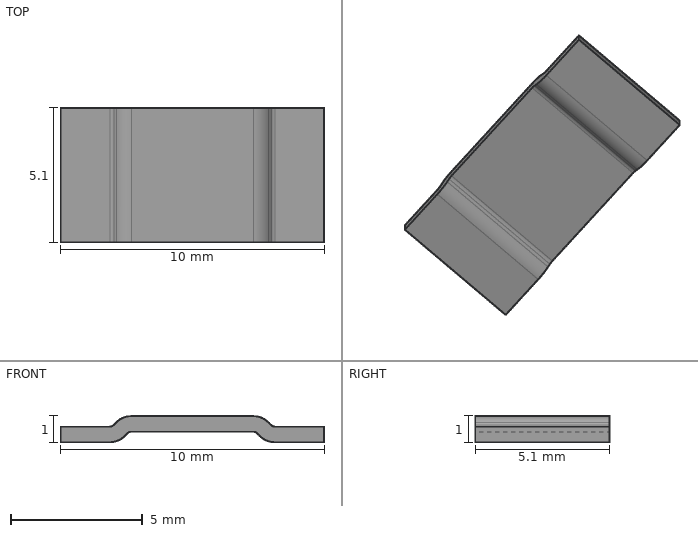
import cadquery as cq
import math

length = 10.0
width = 5.1
height = 1.0
thickness = 0.6
foot_length = 1.87
inner_radius = 0.2
bend_angle = math.radians(45)

outer_radius = inner_radius + thickness
step = height - thickness
sine = math.sin(bend_angle)
cosine = math.cos(bend_angle)

ramp_rise = step - (inner_radius + outer_radius) * (1 - cosine)
ramp_run = ramp_rise * cosine / sine
bend_run = (inner_radius + outer_radius) * sine + ramp_run

lower_center = (-length / 2 + foot_length, thickness + inner_radius)
upper_center = (lower_center[0] + bend_run, height - outer_radius)


def lower_point(radius, angle):
    """Point on the bend that rises from the foot, angle counted from the foot."""
    return (
        lower_center[0] + radius * math.sin(angle),
        lower_center[1] - radius * math.cos(angle),
    )


def upper_point(radius, angle):
    """Point on the bend that meets the raised plate, angle counted from the plate."""
    return (
        upper_center[0] - radius * math.sin(angle),
        upper_center[1] + radius * math.cos(angle),
    )


def half_strip():
    """The -X half of the strip, from its end to the middle plane."""
    half_angle = bend_angle / 2
    profile = (
        cq.Workplane("XZ", origin=(0, width / 2, 0))
        .moveTo(-length / 2, 0)
        .lineTo(-length / 2, thickness)
        .lineTo(*lower_point(inner_radius, 0))
        .threePointArc(lower_point(inner_radius, half_angle), lower_point(inner_radius, bend_angle))
        .lineTo(*upper_point(outer_radius, bend_angle))
        .threePointArc(upper_point(outer_radius, half_angle), upper_point(outer_radius, 0))
        .lineTo(0, height)
        .lineTo(0, step)
        .lineTo(*upper_point(inner_radius, 0))
        .threePointArc(upper_point(inner_radius, half_angle), upper_point(inner_radius, bend_angle))
        .lineTo(*lower_point(outer_radius, bend_angle))
        .threePointArc(lower_point(outer_radius, half_angle), lower_point(outer_radius, 0))
        .close()
    )
    return profile.extrude(width)


left_half = half_strip()
result = left_half.union(left_half.mirror("YZ")).clean()